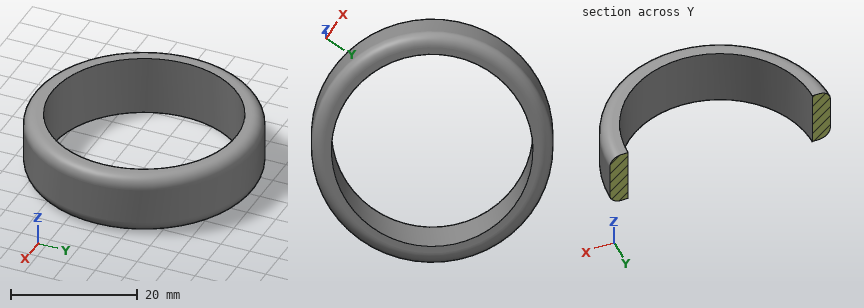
import cadquery as cq

outer_diameter = 38.1
bore_diameter = 31.75
height = 10.17
edge_radius = 2.02

disc = cq.Workplane("XY").circle(outer_diameter / 2).extrude(height)
rounded_disc = disc.edges("%CIRCLE").fillet(edge_radius)

bore = cq.Workplane("XY").circle(bore_diameter / 2).extrude(height)

result = rounded_disc.cut(bore)